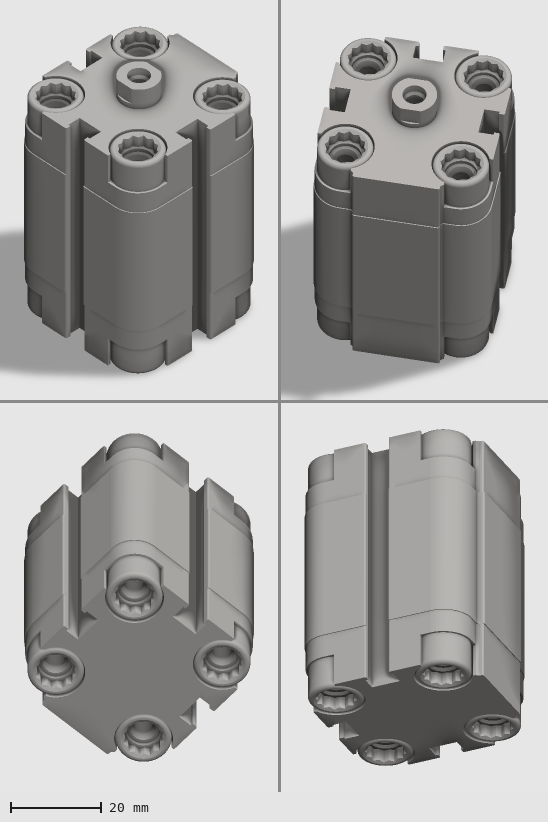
import cadquery as cq
import math


barrel_width = 40.0
corner_centre = 13.0
cap_inset = 0.23
cap_length = 13.05
housing_height = 59.5
barrel_half = barrel_width / 2
cap_half = barrel_half - cap_inset

rail_half_width = 9.8
rail_height = 1.5
rail_fillet = 0.45
rail_root_chamfer = 0.5

slot_mouth_half = 2.7
slot_inner_half = 3.4
slot_floor = 15.0
slot_lip = 18.45
slot_mouth_fillet = 0.4

pocket_depth = 7.6
pocket_radius = 6.5
pocket_edge = 10.45
boss_diameter = 12.5
boss_fillet = 0.9

socket_rim_diameter = 10.15
socket_rim_angle = 30
socket_across_flats = 8.0
hexagon_sides = 6
socket_depth = 3.25
step_diameter = 7.2
step_depth = 4.15

boss_thread_mouth = 5.5
boss_thread_taper = 1.2
thread_core_diameter = 4.15

rod_diameter = 10.0
rod_top = 65.0
rod_bottom = housing_height - cap_length
rod_flat_half = 4.5
rod_flat_length = 4.15
rod_mouth_diameter = 5.3
rod_mouth_depth = 2.0
rod_hole_depth = 9.75
drill_tip_angle = 118

corner_offsets = (-corner_centre, corner_centre)
corner_axes = [(x, y) for x in corner_offsets for y in corner_offsets]


def section(half, bottom, height):
    """Rounded square block with the rail on its +Y side."""
    block = (
        cq.Workplane("XY", origin=(0, 0, bottom))
        .rect(2 * half, 2 * half)
        .extrude(height)
        .edges("|Z")
        .fillet(half - corner_centre)
    )
    top = half + rail_height
    root_half_width = rail_half_width + rail_root_chamfer
    right = [
        (root_half_width, 0),
        (root_half_width, half),
        (rail_half_width, half + rail_root_chamfer),
        (rail_half_width, top),
    ]
    left = [(-x, y) for x, y in reversed(right)]
    rail = (
        cq.Workplane("XY", origin=(0, 0, bottom))
        .polyline(right + left)
        .close()
        .extrude(height)
        .faces(">Y")
        .edges("|Z")
        .fillet(rail_fillet)
    )
    return block.union(rail)


def slot(half, bottom, height):
    """T-slot cutter for the -Y side, flared at the given half width to round the slot mouth."""
    flare_half = slot_mouth_half + slot_mouth_fillet
    flare_start = -half + slot_mouth_fillet
    arc_offset = slot_mouth_fillet * (1 - math.sqrt(0.5))
    arc_x = slot_mouth_half + arc_offset
    arc_y = -half + arc_offset
    return (
        cq.Workplane("XY", origin=(0, 0, bottom))
        .moveTo(-slot_inner_half, -slot_floor)
        .lineTo(slot_inner_half, -slot_floor)
        .lineTo(slot_inner_half, -slot_lip)
        .lineTo(slot_mouth_half, -slot_lip)
        .lineTo(slot_mouth_half, flare_start)
        .threePointArc((arc_x, arc_y), (flare_half, -half))
        .lineTo(-flare_half, -half)
        .threePointArc((-arc_x, arc_y), (-slot_mouth_half, flare_start))
        .lineTo(-slot_mouth_half, -slot_lip)
        .lineTo(-slot_inner_half, -slot_lip)
        .close()
        .extrude(height)
    )


def slotted_section(half, bottom, height):
    block = section(half, bottom, height)
    for angle in (-90, 0, 90):
        block = block.cut(slot(half, bottom, height).rotate((0, 0, 0), (0, 0, 1), angle))
    return block


def both_ends(tool):
    """The tool for the top end together with its mirror image for the bottom end."""
    return tool, tool.mirror("XY", (0, 0, housing_height / 2))


def corner_pocket(x, y):
    """Clearance around a boss at the top end, open to the two outer sides of its corner."""
    floor = cq.Workplane("XY", origin=(0, 0, housing_height - pocket_depth))
    open_size = barrel_half - pocket_edge
    open_middle = (barrel_half + pocket_edge) / 2
    open_corner = (
        floor.center(math.copysign(open_middle, x), math.copysign(open_middle, y))
        .rect(open_size, open_size)
        .extrude(pocket_depth)
    )
    pocket = floor.center(x, y).circle(pocket_radius).extrude(pocket_depth).union(open_corner)
    boss = (
        floor.center(x, y)
        .circle(boss_diameter / 2)
        .extrude(pocket_depth)
        .faces(">Z")
        .edges()
        .fillet(boss_fillet)
    )
    return pocket.cut(boss)


def boss_socket(x, y):
    """Twelve-point socket with a conical rim, a stepped floor and a thread lead-in at the top end."""
    rim_radius = socket_rim_diameter / 2
    rim_cone = cq.Solid.makeCone(
        rim_radius,
        0,
        rim_radius * math.tan(math.radians(socket_rim_angle)),
        dir=cq.Vector(0, 0, -1),
    )
    hexagon_diameter = socket_across_flats / math.cos(math.pi / hexagon_sides)
    hexagon = cq.Workplane("XY").polygon(hexagon_sides, hexagon_diameter).extrude(-socket_depth)
    star = hexagon.union(hexagon.rotate((0, 0, 0), (0, 0, 1), 180 / hexagon_sides))
    step = cq.Workplane("XY").circle(step_diameter / 2).extrude(-step_depth)
    lead_in = cq.Solid.makeCone(
        boss_thread_mouth / 2,
        thread_core_diameter / 2,
        boss_thread_taper,
        pnt=cq.Vector(0, 0, -step_depth),
        dir=cq.Vector(0, 0, -1),
    )
    return star.union(rim_cone).union(step).union(lead_in).translate((x, y, housing_height))


def make_housing():
    barrel_length = housing_height - 2 * cap_length
    body = slotted_section(barrel_half, cap_length, barrel_length)
    body = body.union(slotted_section(cap_half, 0, cap_length))
    body = body.union(slotted_section(cap_half, housing_height - cap_length, cap_length))
    for x, y in corner_axes:
        for tool in both_ends(corner_pocket(x, y)) + both_ends(boss_socket(x, y)):
            body = body.cut(tool)
    through_holes = (
        cq.Workplane("XY")
        .pushPoints(corner_axes)
        .circle(thread_core_diameter / 2)
        .extrude(housing_height)
    )
    rod_bore = cq.Workplane("XY", origin=(0, 0, rod_bottom)).circle(rod_diameter / 2).extrude(cap_length)
    return body.cut(through_holes).cut(rod_bore)


def make_rod():
    rod = cq.Workplane("XY", origin=(0, 0, rod_bottom)).circle(rod_diameter / 2).extrude(rod_top - rod_bottom)
    flat_cut = rod_diameter / 2 - rod_flat_half
    for side in (-1, 1):
        flat = cq.Workplane("XY").box(rod_diameter, flat_cut, rod_flat_length, centered=(True, True, False))
        rod = rod.cut(flat.translate((0, side * (rod_flat_half + flat_cut / 2), rod_top - rod_flat_length)))
    mouth = rod_mouth_diameter / 2
    core = thread_core_diameter / 2
    chamfer = mouth - core
    tip_length = core / math.tan(math.radians(drill_tip_angle / 2))
    hole = (
        cq.Workplane("XZ", origin=(0, 0, rod_top))
        .polyline([
            (0, 0),
            (mouth, 0),
            (mouth, -rod_mouth_depth),
            (core, -rod_mouth_depth - chamfer),
            (core, -rod_hole_depth),
            (0, -rod_hole_depth - tip_length),
        ])
        .close()
        .revolve(360, (0, 0, 0), (0, 1, 0))
    )
    return rod.cut(hole)


housing = make_housing()
piston_rod = make_rod()

result = cq.Compound.makeCompound([housing.val(), piston_rod.val()])